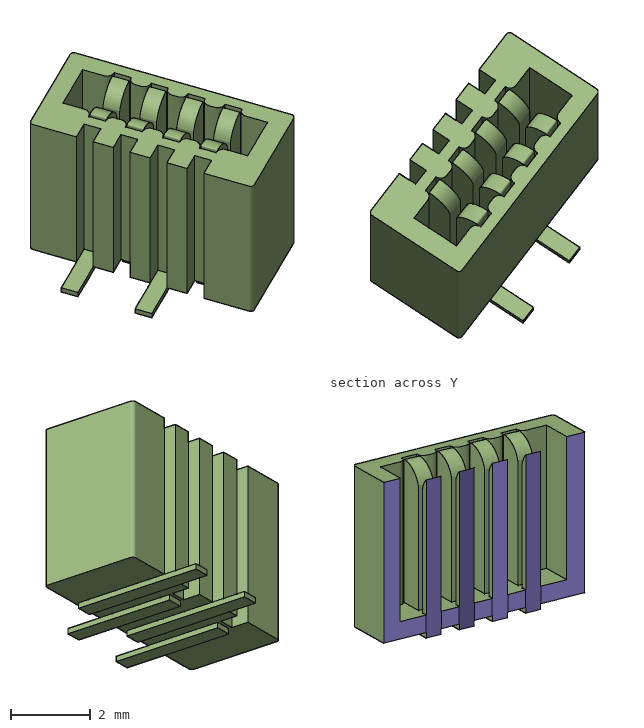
import cadquery as cq

HOUSING_LENGTH = 6.05
HOUSING_DEPTH = 2.795
HOUSING_HEIGHT = 4.35
CORNER_RADIUS = 0.1

PIN_COUNT = 4
PIN_PITCH = 1.0
PIN_WIDTH = 0.455
STRIP_THICKNESS = 0.15
STRIP_LENGTH = 2.1
TAIL_SPAN = 4.8

ROW_CENTER_X = -0.025
ROW_CENTER_Y = 0.255

CAVITY_LENGTH = 5.0
CAVITY_DEPTH = 1.3
FLOOR_THICKNESS = 0.485

SLOT_SPAN = 1.7
SLOT_MOUTH_RADIUS = 0.195

GROOVE_DEPTH = 0.5

ARM_BACK = 0.75
ARM_BACK_RADIUS = 0.05
ARM_GAP = 0.195
HEAD_RADIUS = 0.68
HEAD_DROP = 0.51

HOUSING_TOP = STRIP_THICKNESS + HOUSING_HEIGHT
FLOOR_TOP = STRIP_THICKNESS + FLOOR_THICKNESS
CAVITY_HEIGHT = HOUSING_TOP - FLOOR_TOP
PIN_XS = [ROW_CENTER_X + (i - (PIN_COUNT - 1) / 2) * PIN_PITCH for i in range(PIN_COUNT)]


def block(length, depth, height, x, y, z):
    """A box centred on (x, y) with its bottom at z."""
    return cq.Workplane("XY").box(length, depth, height, centered=(True, True, False)).translate((x, y, z))


def slot_mouth(x, side):
    """Flared mouth of one slot: a convex quarter arc joins each slot side to the cavity wall."""
    half_width = PIN_WIDTH / 2
    wall = CAVITY_DEPTH / 2
    outer = wall + SLOT_MOUTH_RADIUS
    flare = half_width + SLOT_MOUTH_RADIUS
    middle_x = flare - SLOT_MOUTH_RADIUS * 0.5**0.5
    middle_y = outer - SLOT_MOUTH_RADIUS * 0.5**0.5
    return (
        cq.Workplane("XY", origin=(x, ROW_CENTER_Y, FLOOR_TOP))
        .moveTo(-flare, side * wall)
        .threePointArc((-middle_x, side * middle_y), (-half_width, side * outer))
        .lineTo(half_width, side * outer)
        .threePointArc((middle_x, side * middle_y), (flare, side * wall))
        .close()
        .extrude(CAVITY_HEIGHT)
    )


def make_pin(x, tail_side):
    """Base strip, two facing contact arms and a solder tail leaving towards tail_side (+1 or -1) in Y."""
    strip = block(PIN_WIDTH, STRIP_LENGTH, STRIP_THICKNESS, x, ROW_CENTER_Y, 0)

    tail_end = tail_side * TAIL_SPAN / 2
    tail_length = abs(tail_end - ROW_CENTER_Y)
    tail = block(PIN_WIDTH, tail_length, STRIP_THICKNESS, x, (tail_end + ROW_CENTER_Y) / 2, 0)

    arm = (
        cq.Workplane("YZ", origin=(x - PIN_WIDTH / 2, ROW_CENTER_Y, 0))
        .moveTo(ARM_GAP / 2, 0)
        .lineTo(ARM_GAP / 2, HOUSING_TOP - HEAD_DROP)
        .radiusArc((ARM_BACK - ARM_BACK_RADIUS, HOUSING_TOP), HEAD_RADIUS)
        .radiusArc((ARM_BACK, HOUSING_TOP - ARM_BACK_RADIUS), ARM_BACK_RADIUS)
        .lineTo(ARM_BACK, 0)
        .close()
        .extrude(PIN_WIDTH)
    )
    opposite_arm = arm.mirror("XZ", (x, ROW_CENTER_Y, 0))
    return strip.union(tail).union(arm).union(opposite_arm).clean()


def make_housing():
    """Block with a flared-slot cavity, grooves down its front and holes in its floor for the arms."""
    housing = block(HOUSING_LENGTH, HOUSING_DEPTH, HOUSING_HEIGHT, 0, 0, STRIP_THICKNESS)
    housing = housing.edges("|Z").fillet(CORNER_RADIUS)

    cavity = block(CAVITY_LENGTH, CAVITY_DEPTH, CAVITY_HEIGHT, ROW_CENTER_X, ROW_CENTER_Y, FLOOR_TOP)
    housing = housing.cut(cavity)

    arm_depth = ARM_BACK - ARM_GAP / 2
    arm_center = (ARM_BACK + ARM_GAP / 2) / 2
    groove_y = (GROOVE_DEPTH - HOUSING_DEPTH) / 2
    for x in PIN_XS:
        slot = block(PIN_WIDTH, SLOT_SPAN, CAVITY_HEIGHT, x, ROW_CENTER_Y, FLOOR_TOP)
        groove = block(PIN_WIDTH, GROOVE_DEPTH, HOUSING_HEIGHT, x, groove_y, STRIP_THICKNESS)
        housing = housing.cut(slot).cut(groove)
        for side in (-1, 1):
            arm_y = ROW_CENTER_Y + side * arm_center
            arm_hole = block(PIN_WIDTH, arm_depth, FLOOR_THICKNESS, x, arm_y, STRIP_THICKNESS)
            housing = housing.cut(slot_mouth(x, side)).cut(arm_hole)
    return housing


housing = make_housing()

pins = [make_pin(x, -1 if i % 2 == 0 else 1) for i, x in enumerate(PIN_XS)]

result = cq.Compound.makeCompound([housing.val(), *[pin.val() for pin in pins]])